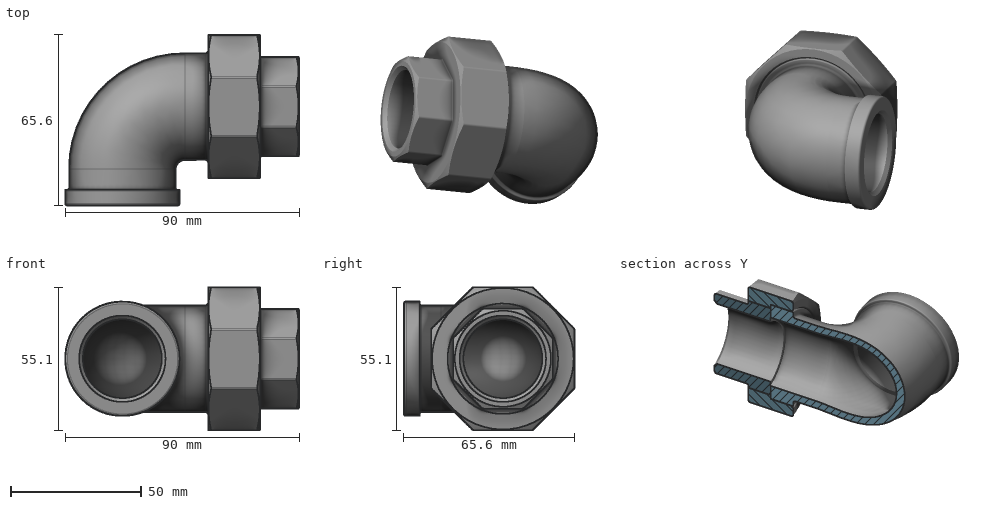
import cadquery as cq
import math


thread_bore_diameter = 30.3
bend_bore_diameter = 34.0
thread_runout = 0.9
mouth_chamfer = 1.4

overall_length = 90

pipe_diameter = 41.0
bend_radius = 23.9
branch_end = 38.0
collar_diameter = 44.0
collar_length = 6.1
collar_back_fillet = 0.45
collar_front_fillet = 0.8
flange_diameter = 46.5
flange_face_fillet = 0.5
flange_root_fillet = 1.0

nut_start = 32.9
nut_length = 20.0
nut_across_flats = 55.1
nut_mouth_diameter = 48.0
nut_face_diameter = 54.4
nut_bevel_angle = 25

tail_across_flats = 38.25
tail_neck_diameter = 42.5
tail_face_diameter = 36.9
tail_bevel_angle = 27
tail_root_fillet = 0.45

octagon_sides = 8
octagon_edge_fillet = 1.2

tail_end = overall_length - collar_diameter / 2
nut_end = nut_start + nut_length
joint = nut_start + nut_length / 2
nut_mouth_chamfer = (nut_mouth_diameter - flange_diameter) / 2


def cylinder_x(start, end, diameter):
    """Cylinder along the run axis."""
    return cq.Workplane("YZ", origin=(start, 0, 0)).circle(diameter / 2).extrude(end - start)


def cylinder_branch(start, end, diameter):
    """Cylinder along the branch axis, placed by distance from the run axis."""
    return cq.Workplane("XZ", origin=(0, -start, 0)).circle(diameter / 2).extrude(end - start)


def octagon_x(start, end, across_flats):
    """Octagonal bar along the run axis, flats facing Y and Z, long edges rounded."""
    corner_diameter = across_flats / math.cos(math.pi / octagon_sides)
    bar = (
        cq.Workplane("YZ", origin=(start, 0, 0))
        .transformed(rotate=(0, 0, 180 / octagon_sides))
        .polygon(octagon_sides, corner_diameter)
        .extrude(end - start)
    )
    return bar.edges("|X").fillet(octagon_edge_fillet)


def beveled_blank(start, end, across_flats, face_diameter, angle):
    """Turned blank with a conical end; its intersection with an octagon bevels the corners."""
    outer_radius = across_flats
    face_radius = face_diameter / 2
    depth = (outer_radius - face_radius) * math.tan(math.radians(angle))
    return (
        cq.Workplane("XY", origin=(start, 0, 0))
        .lineTo(0, outer_radius)
        .lineTo(end - start - depth, outer_radius)
        .lineTo(end - start, face_radius)
        .lineTo(end - start, 0)
        .close()
        .revolve(360, (0, 0, 0), (1, 0, 0))
    )


def bend(diameter):
    """Quarter bend that turns the branch into the run."""
    return (
        cq.Workplane("XZ", origin=(0, -bend_radius, 0))
        .circle(diameter / 2)
        .revolve(90, (bend_radius, 0.9, 0), (bend_radius, -0.9, 0))
    )


def ringed_pipe(ring_start, end, ring_diameter, root_fillet, back_fillet, front_fillet):
    """Straight pipe along X from the bend to its end, with a raised ring up to that end.

    The fillets round the ring's root on the pipe, its back edge and its front edge.
    """
    pipe_radius = pipe_diameter / 2
    ring_radius = ring_diameter / 2
    outline = (
        cq.Workplane("XY")
        .moveTo(bend_radius, 0)
        .lineTo(bend_radius, pipe_radius)
        .lineTo(ring_start - root_fillet, pipe_radius)
        .radiusArc((ring_start, pipe_radius + root_fillet), -root_fillet)
        .lineTo(ring_start, ring_radius - back_fillet)
        .radiusArc((ring_start + back_fillet, ring_radius), back_fillet)
        .lineTo(end - front_fillet, ring_radius)
    )
    if front_fillet > 0:
        outline = outline.radiusArc((end, ring_radius - front_fillet), front_fillet)
    return outline.lineTo(end, 0).close().revolve(360, (0, 0, 0), (1, 0, 0))


def make_branch_mouth():
    """Straight pipe stub with the collar at the branch mouth."""
    collar_start = branch_end - collar_length
    stub = ringed_pipe(
        collar_start, branch_end, collar_diameter,
        collar_back_fillet, collar_back_fillet, collar_front_fillet,
    )
    return stub.rotate((0, 0, 0), (0, 0, 1), -90)


def make_run_flange():
    """Straight pipe with the flange that seats in the nut."""
    return ringed_pipe(nut_start, joint, flange_diameter, flange_root_fillet, flange_face_fillet, 0)


def make_elbow():
    body = bend(pipe_diameter).union(make_branch_mouth()).union(make_run_flange())
    body = body.cut(cylinder_branch(bend_radius - thread_runout, branch_end, thread_bore_diameter))
    body = body.cut(bend(bend_bore_diameter)).cut(cylinder_x(bend_radius, joint, bend_bore_diameter))
    return body.faces("<Y").edges("%CIRCLE").edges(cq.selectors.RadiusNthSelector(0)).chamfer(mouth_chamfer)


def make_nut():
    body = octagon_x(nut_start, nut_end, nut_across_flats)
    blank = beveled_blank(nut_start, nut_end, nut_across_flats, nut_face_diameter, nut_bevel_angle)
    body = body.intersect(blank).intersect(blank.mirror("YZ", (joint, 0, 0)))
    body = body.cut(cylinder_x(nut_start, joint, flange_diameter))
    body = body.cut(cylinder_x(joint, nut_end, tail_neck_diameter))
    return body.faces("<X").edges(cq.selectors.RadiusNthSelector(0)).chamfer(nut_mouth_chamfer)


def make_tail():
    octagon = octagon_x(nut_end, tail_end, tail_across_flats)
    octagon = octagon.intersect(
        beveled_blank(nut_end, tail_end, tail_across_flats, tail_face_diameter, tail_bevel_angle)
    )
    body = octagon.union(cylinder_x(joint, nut_end, tail_neck_diameter))
    shoulder = cq.selectors.NearestToPointSelector((nut_end, 0, 0))
    octagon_outline = cq.selectors.LengthNthSelector(0)
    body = body.faces(shoulder).wires(octagon_outline).edges().fillet(tail_root_fillet)
    body = body.cut(cylinder_x(joint, tail_end, thread_bore_diameter))
    return body.faces(">X").edges(cq.selectors.RadiusNthSelector(0)).chamfer(mouth_chamfer)


elbow = make_elbow()
nut = make_nut()
tail = make_tail()

result = cq.Compound.makeCompound([elbow.val(), nut.val(), tail.val()])